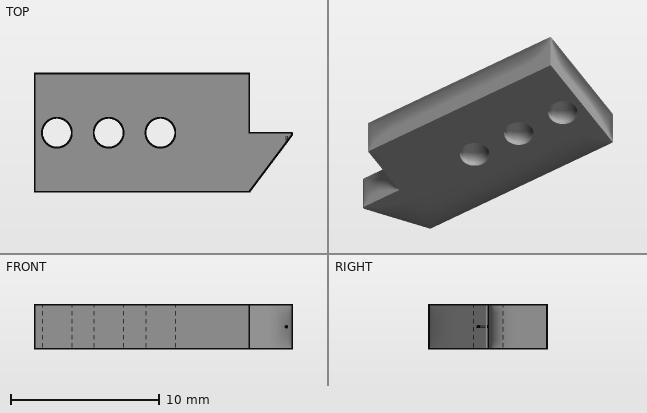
import cadquery as cq

body_length = 14.5
width = 8.0
thickness = 3.0

overall_length = 17.4
nose_radius = 0.1
sharp_tip_x = overall_length + nose_radius
ledge_y = width / 2

hole_diameter = 2.0
first_hole_x = 1.5
hole_pitch = 3.5
hole_count = 3

pin_hole_diameter = 0.1
pin_hole_x = 17.0


def make_plate():
    outline = [
        (0, 0),
        (body_length, 0),
        (sharp_tip_x, ledge_y),
        (body_length, ledge_y),
        (body_length, width),
        (0, width),
    ]
    plate = cq.Workplane("XY").polyline(outline).close().extrude(thickness)
    return plate.edges("|Z").edges(">X").fillet(nose_radius)


def make_mounting_holes():
    centres = [(first_hole_x + i * hole_pitch, width / 2) for i in range(hole_count)]
    return cq.Workplane("XY").pushPoints(centres).circle(hole_diameter / 2).extrude(thickness)


def make_pin_hole():
    return (
        cq.Workplane("XZ")
        .center(pin_hole_x, thickness / 2)
        .circle(pin_hole_diameter / 2)
        .extrude(-width)
    )


result = make_plate().cut(make_mounting_holes()).cut(make_pin_hole())